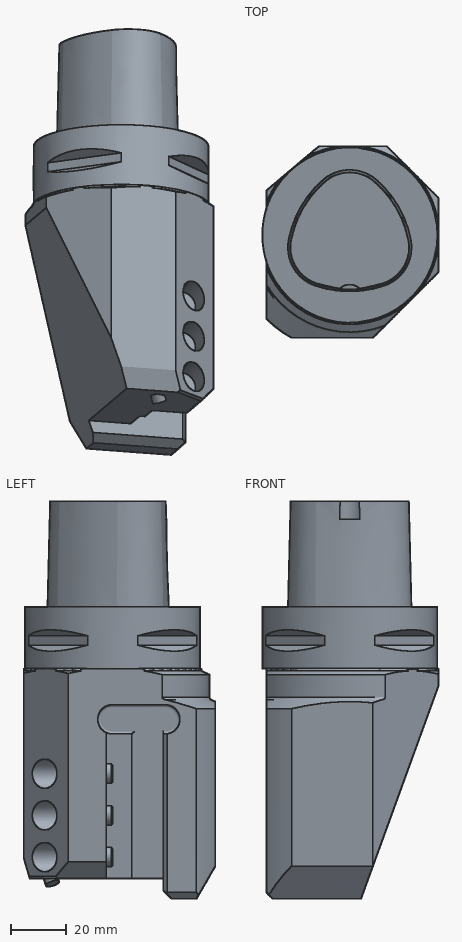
import cadquery as cq
import math

FLANGE_DIAMETER = 63.0
FLANGE_HEIGHT = 22.2
SHANK_HEIGHT = 38.0
LIP_BOTTOM_Z = -105.0
BLOCK_BOTTOM_Z = -97.7

LOBE_REACH = 23.45
FLANK_REACH = 20.3
LOBE_RADIUS = 14.6
SHANK_TAPER = 1 / 20
NOTCH_RADIUS = 5.0
NOTCH_INNER_Y = -17.8
NOTCH_DEPTH = 6.5

GROOVE_Z = -12.1
GROOVE_FLOOR_RADIUS = 27.7
GROOVE_FLOOR_WIDTH = 3.3
GROOVE_WALL_ANGLE = 30.0

BODY_LEFT_X = -30.0
BODY_APOTHEM = 32.0
BODY_FRONT_Y = -37.0
ANGLED_FACE_LEFT_Y = 16.0
ANGLED_FACE_BACK_X = -11.0
BODY_TURNED_RADIUS = 42.5
COLLAR_RADIUS = 34.9
SHOULDER_ANGLE = 25.0
SHOULDER_FILLET = 1.0
UPPER_SHOULDER_Z = -22.8
LOWER_SHOULDER_Z = -33.1

RELIEF_TOP_Z = -28.3
RELIEF_ANGLE = 20.0

SLOT_WALL_Y = 2.2
LIP_WALL_Y = -18.2
STEP_Y = -6.9
SEAT_X = -11.0
GROOVE_BOTTOM_X = -9.0
RELIEF_SLOT_TOP_Z = -35.2
RELIEF_SLOT_HEIGHT = 10.5
RELIEF_SLOT_BACK_Y = 5.3
RELIEF_SLOT_FRONT_Y = -24.2
ROOT_FILLET = 1.0
LIP_MOUTH_CHAMFER = 1.4

LIP_FRONT_CHAMFER = 6.8
LIP_FRONT_CHAMFER_ANGLE = 30.0
LIP_LEFT_CHAMFER = 2.3
LIP_INNER_CHAMFER = 3.0
BLOCK_LEFT_CHAMFER = 6.0
BLOCK_BACK_CHAMFER = 2.2
BLOCK_BACK_CHAMFER_HEIGHT = 7.5
BLOCK_ANGLED_CHAMFER = 0.8

SCREW_COUNT = 3
SCREW_PITCH = 15.0
SCREW_TOP_Z = -60.0
SCREW_X = -20.0
SCREW_HOLE_DIAMETER = 10.5
SCREW_HOLE_FLOOR_Y = 9.0
SCREW_TIP_DIAMETER = 7.0
SCREW_TIP_LENGTH = 2.3
SCREW_TIP_CHAMFER = 0.6

NOZZLE_DIAMETER = 5.0
NOZZLE_X = -8.0
NOZZLE_Y = 21.6
NOZZLE_END_Z = -99.5
NOZZLE_DIRECTION = (-0.35, -0.3, -0.89)

FLANGE_RADIUS = FLANGE_DIAMETER / 2
MARGIN = 5.0
REACH = 60.0
CORNER_SUM = BODY_APOTHEM * math.sqrt(2)


def polar(radius, degrees):
    angle = math.radians(degrees)
    return (radius * math.cos(angle), radius * math.sin(angle))


def tan(degrees):
    return math.tan(math.radians(degrees))


def box(x_min, x_max, y_min, y_max, z_min, z_max):
    size = (x_max - x_min, y_max - y_min, z_max - z_min)
    return cq.Workplane("XY").box(*size, centered=False).translate((x_min, y_min, z_min))


def prism_along_x(points, x_min, x_max):
    """Extrude a polygon of (y, z) points along X."""
    return cq.Workplane("YZ").polyline(points).close().extrude(x_max - x_min).translate((x_min, 0, 0))


def prism_along_y(points, y_min, y_max):
    """Extrude a polygon of (x, z) points along Y."""
    return cq.Workplane("XZ").polyline(points).close().extrude(y_min - y_max).translate((0, y_min, 0))


def bottom_wedge(edge, bottom_z, run, height):
    """Triangle that removes a bottom edge; the sign of run points into the material."""
    return [(edge, bottom_z), (edge + run, bottom_z), (edge, bottom_z + height)]


def shank_section(inset, z):
    """Closed wire of tangent lobe and flank arcs, shrunk evenly by inset."""
    lobe_center = LOBE_REACH - LOBE_RADIUS
    reach_gap = FLANK_REACH - LOBE_RADIUS
    flank_center = (lobe_center**2 - reach_gap**2) / (2 * reach_gap - lobe_center)
    flank_radius = FLANK_REACH + flank_center - inset
    lobe_x, lobe_y = polar(lobe_center, 60)
    flank_half_angle = math.degrees(math.atan2(lobe_y, lobe_x + flank_center))
    flank_x, flank_y = polar(flank_radius, flank_half_angle)
    joint_radius = math.hypot(flank_x - flank_center, flank_y)
    joint_angle = math.degrees(math.atan2(flank_y, flank_x - flank_center))
    section = cq.Workplane("XY", origin=(0, 0, z)).moveTo(*polar(joint_radius, -90 - joint_angle))
    for turn in range(3):
        flank_direction = -90 + 120 * turn
        lobe_direction = flank_direction + 60
        next_direction = flank_direction + 120
        section = section.threePointArc(
            polar(FLANK_REACH - inset, flank_direction),
            polar(joint_radius, flank_direction + joint_angle),
        ).threePointArc(
            polar(LOBE_REACH - inset, lobe_direction),
            polar(joint_radius, next_direction - joint_angle),
        )
    return section.wire().val()


def make_shank():
    base = shank_section(0, 0)
    top = shank_section(SHANK_TAPER * SHANK_HEIGHT / 2, SHANK_HEIGHT)
    shank = cq.Workplane(cq.Solid.makeLoft([base, top], True))
    notch = (
        cq.Workplane("XY")
        .workplane(offset=SHANK_HEIGHT - NOTCH_DEPTH)
        .center(0, NOTCH_INNER_Y - NOTCH_RADIUS)
        .circle(NOTCH_RADIUS)
        .extrude(NOTCH_DEPTH + MARGIN)
    )
    return shank.cut(notch)


def make_flange():
    flange = cq.Workplane("XY").circle(FLANGE_RADIUS).extrude(-FLANGE_HEIGHT)
    outer_radius = FLANGE_RADIUS + MARGIN
    floor_half = GROOVE_FLOOR_WIDTH / 2
    mouth_half = floor_half + (outer_radius - GROOVE_FLOOR_RADIUS) * tan(GROOVE_WALL_ANGLE)
    groove = prism_along_y(
        [
            (GROOVE_FLOOR_RADIUS, GROOVE_Z - floor_half),
            (outer_radius, GROOVE_Z - mouth_half),
            (outer_radius, GROOVE_Z + mouth_half),
            (GROOVE_FLOOR_RADIUS, GROOVE_Z + floor_half),
        ],
        -REACH,
        REACH,
    )
    for angle in (45, 135, 225, 315):
        flange = flange.cut(groove.rotate((0, 0, 0), (0, 0, 1), angle))
    return flange


def make_turned_blank():
    """Revolved blank: two filleted conical shoulders with the collar between them."""
    slope = tan(SHOULDER_ANGLE)
    collar_top_z = UPPER_SHOULDER_Z - (COLLAR_RADIUS - FLANGE_RADIUS) * slope
    body_top_z = LOWER_SHOULDER_Z - (BODY_TURNED_RADIUS - COLLAR_RADIUS) * slope

    fillet_run = SHOULDER_FILLET * tan((90 - SHOULDER_ANGLE) / 2)
    cone_dr, cone_dz = polar(fillet_run, -SHOULDER_ANGLE)

    def add_fillet(profile, radius, z):
        fillet_end = (radius + cone_dr, z + cone_dz)
        return profile.lineTo(radius, z + fillet_run).tangentArcPoint(fillet_end, relative=False)

    blank_top_z = UPPER_SHOULDER_Z + fillet_run
    profile = cq.Workplane("XZ").moveTo(0, blank_top_z)
    profile = add_fillet(profile, FLANGE_RADIUS, UPPER_SHOULDER_Z)
    profile = profile.lineTo(COLLAR_RADIUS, collar_top_z)
    profile = add_fillet(profile, COLLAR_RADIUS, LOWER_SHOULDER_Z)
    profile = profile.lineTo(BODY_TURNED_RADIUS, body_top_z).lineTo(BODY_TURNED_RADIUS, LIP_BOTTOM_Z)
    return profile.lineTo(0, LIP_BOTTOM_Z).close().revolve(360, (0, 0, 0), (0, 1, 0))


def make_body():
    outline = [
        (BODY_LEFT_X, BODY_FRONT_Y),
        (CORNER_SUM + BODY_FRONT_Y, BODY_FRONT_Y),
        (BODY_APOTHEM, BODY_APOTHEM - CORNER_SUM),
        (BODY_APOTHEM, CORNER_SUM - BODY_APOTHEM),
        (CORNER_SUM - BODY_APOTHEM, BODY_APOTHEM),
        (ANGLED_FACE_BACK_X, BODY_APOTHEM),
        (BODY_LEFT_X, ANGLED_FACE_LEFT_Y),
    ]
    prism = cq.Workplane("XY").polyline(outline).close().extrude(LIP_BOTTOM_Z)
    body = prism.intersect(make_turned_blank())
    relief_run = (RELIEF_TOP_Z - LIP_BOTTOM_Z) * tan(RELIEF_ANGLE)
    relief = prism_along_y(
        [
            (BODY_APOTHEM, RELIEF_TOP_Z),
            (BODY_APOTHEM - relief_run, LIP_BOTTOM_Z),
            (BODY_APOTHEM, LIP_BOTTOM_Z),
        ],
        -REACH,
        REACH,
    )
    above_lip = box(-REACH, REACH, LIP_WALL_Y, REACH, LIP_BOTTOM_Z, BLOCK_BOTTOM_Z)
    return body.cut(relief).cut(above_lip)


def cut_lip_chamfers(body):
    front_height = LIP_FRONT_CHAMFER / tan(LIP_FRONT_CHAMFER_ANGLE)
    front = prism_along_x(
        bottom_wedge(BODY_FRONT_Y, LIP_BOTTOM_Z, LIP_FRONT_CHAMFER, front_height),
        -REACH,
        REACH,
    )
    inner = prism_along_x(
        bottom_wedge(LIP_WALL_Y, LIP_BOTTOM_Z, -LIP_INNER_CHAMFER, LIP_INNER_CHAMFER),
        -REACH,
        REACH,
    )
    left = prism_along_y(
        bottom_wedge(BODY_LEFT_X, LIP_BOTTOM_Z, LIP_LEFT_CHAMFER, LIP_LEFT_CHAMFER),
        -REACH,
        LIP_WALL_Y,
    )
    return body.cut(front).cut(inner).cut(left)


def cut_block_chamfers(body):
    left = prism_along_y(
        bottom_wedge(BODY_LEFT_X, BLOCK_BOTTOM_Z, BLOCK_LEFT_CHAMFER, BLOCK_LEFT_CHAMFER),
        LIP_WALL_Y,
        REACH,
    )
    back = prism_along_x(
        bottom_wedge(BODY_APOTHEM, BLOCK_BOTTOM_Z, -BLOCK_BACK_CHAMFER, BLOCK_BACK_CHAMFER_HEIGHT),
        -REACH,
        REACH,
    )
    face_dx = ANGLED_FACE_BACK_X - BODY_LEFT_X
    face_dy = BODY_APOTHEM - ANGLED_FACE_LEFT_Y
    angled = (
        prism_along_x(
            bottom_wedge(0, BLOCK_BOTTOM_Z, -BLOCK_ANGLED_CHAMFER, BLOCK_ANGLED_CHAMFER),
            -MARGIN,
            math.hypot(face_dx, face_dy) + MARGIN,
        )
        .rotate((0, 0, 0), (0, 0, 1), math.degrees(math.atan2(face_dy, face_dx)))
        .translate((BODY_LEFT_X, ANGLED_FACE_LEFT_Y, 0))
    )
    return body.cut(left).cut(back).cut(angled)


def cut_blade_slot(body):
    mouth_x = BODY_LEFT_X - MARGIN
    slot_bottom_z = LIP_BOTTOM_Z - MARGIN
    relief_length = RELIEF_SLOT_BACK_Y - RELIEF_SLOT_FRONT_Y
    relief_center_y = (RELIEF_SLOT_BACK_Y + RELIEF_SLOT_FRONT_Y) / 2
    relief_center_z = RELIEF_SLOT_TOP_Z - RELIEF_SLOT_HEIGHT / 2

    seat = box(mouth_x, SEAT_X, LIP_WALL_Y, SLOT_WALL_Y, slot_bottom_z, relief_center_z)
    seat = seat.edges("|Z and >X and >Y").fillet(ROOT_FILLET)

    relief_slot = (
        cq.Workplane("YZ", origin=(mouth_x, 0, 0))
        .center(relief_center_y, relief_center_z)
        .slot2D(relief_length, RELIEF_SLOT_HEIGHT)
        .extrude(GROOVE_BOTTOM_X - mouth_x)
    )
    blade_groove = box(mouth_x, GROOVE_BOTTOM_X, LIP_WALL_Y, STEP_Y, slot_bottom_z, relief_center_z)
    deep_pocket = relief_slot.union(blade_groove)
    lip_side = cq.selectors.BoxSelector(
        (GROOVE_BOTTOM_X - ROOT_FILLET, LIP_WALL_Y - ROOT_FILLET, slot_bottom_z),
        (GROOVE_BOTTOM_X + ROOT_FILLET, LIP_WALL_Y + ROOT_FILLET, relief_center_z),
    )
    floor_edges = cq.selectors.StringSyntaxSelector(">X")
    deep_pocket = deep_pocket.edges(floor_edges - lip_side).fillet(ROOT_FILLET)

    mouth_chamfer = (
        cq.Workplane("XY")
        .polyline(
            [
                (BODY_LEFT_X, LIP_WALL_Y),
                (BODY_LEFT_X, LIP_WALL_Y - LIP_MOUTH_CHAMFER),
                (BODY_LEFT_X + LIP_MOUTH_CHAMFER, LIP_WALL_Y),
            ]
        )
        .close()
        .extrude(slot_bottom_z - relief_center_z)
        .translate((0, 0, relief_center_z))
    )
    return body.cut(seat).cut(deep_pocket).cut(mouth_chamfer)


def add_clamping_screws(body):
    hole = cq.Workplane("XZ").circle(SCREW_HOLE_DIAMETER / 2).extrude(-REACH)
    tip = (
        cq.Workplane("XZ")
        .circle(SCREW_TIP_DIAMETER / 2)
        .extrude(SCREW_TIP_LENGTH + MARGIN)
        .faces("<Y")
        .chamfer(SCREW_TIP_CHAMFER)
    )
    for index in range(SCREW_COUNT):
        z = SCREW_TOP_Z - index * SCREW_PITCH
        body = body.cut(hole.translate((SCREW_X, SCREW_HOLE_FLOOR_Y, z)))
        body = body.union(tip.translate((SCREW_X, SLOT_WALL_Y + MARGIN, z)))
    return body


def make_nozzle():
    """Oblique pin that leans towards the blade slot and the open side."""
    outlet = cq.Plane(origin=(NOZZLE_X, NOZZLE_Y, NOZZLE_END_Z), normal=NOZZLE_DIRECTION)
    length = BLOCK_BOTTOM_Z - NOZZLE_END_Z + MARGIN
    return cq.Workplane(outlet).circle(NOZZLE_DIAMETER / 2).extrude(-length)


body = make_body()
body = cut_lip_chamfers(body)
body = cut_block_chamfers(body)
body = cut_blade_slot(body)
body = add_clamping_screws(body)
result = body.union(make_flange()).union(make_shank()).union(make_nozzle())